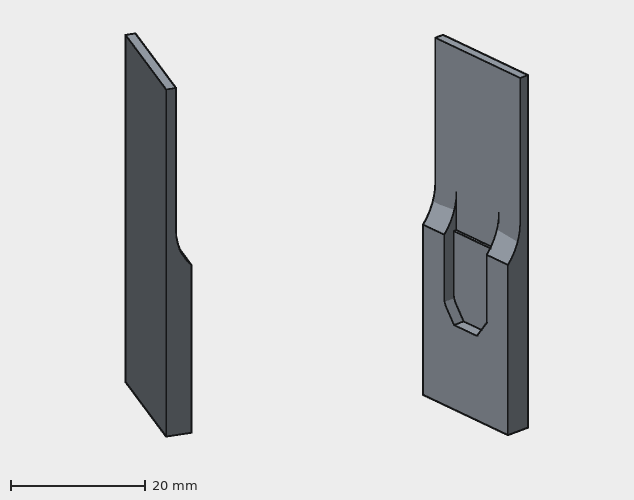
import cadquery as cq
import math

width = 19.0
height = 58.0
thickness = 4.0
blade_thickness = 1.55
sweep_top = 34.2
sweep_radius = 9.1

recess_width = 9.5
recess_depth = 1.9
recess_bottom = 13.9
recess_flat_width = 5.1
corner_angle = 53.0
right_round_radius = 2.3

sweep_centre_y = blade_thickness + sweep_radius
sweep_end_angle = math.acos((sweep_centre_y - thickness) / sweep_radius)
sweep_bottom = sweep_top - sweep_radius * math.sin(sweep_end_angle)


def make_plate():
    """Side profile in Y and Z, extruded across the width."""
    half_angle = sweep_end_angle / 2
    sweep_middle = (
        sweep_centre_y - sweep_radius * math.cos(half_angle),
        sweep_top - sweep_radius * math.sin(half_angle),
    )
    return (
        cq.Workplane("YZ")
        .lineTo(thickness, 0)
        .lineTo(thickness, sweep_bottom)
        .threePointArc(sweep_middle, (blade_thickness, sweep_top))
        .lineTo(blade_thickness, height)
        .lineTo(0, height)
        .close()
        .extrude(width / 2, both=True)
    )


def make_recess():
    """Blind recess: sloped left corner, sloped and rounded right corner."""
    half_width = recess_width / 2
    half_flat = recess_flat_width / 2
    slope = math.radians(corner_angle)
    left_rise = (half_width - half_flat) * math.tan(slope)

    round_start_x = half_width - right_round_radius * (1 - math.sin(slope))
    round_start_z = recess_bottom + (round_start_x - half_flat) * math.tan(slope)
    round_centre_x = half_width - right_round_radius
    round_end_z = round_start_z + right_round_radius * math.cos(slope)
    middle_angle = (math.pi / 2 - slope) / 2
    round_middle = (
        round_centre_x + right_round_radius * math.cos(middle_angle),
        round_end_z - right_round_radius * math.sin(middle_angle),
    )
    return (
        cq.Workplane("XZ", origin=(0, thickness, 0))
        .moveTo(-half_width, sweep_top)
        .lineTo(-half_width, recess_bottom + left_rise)
        .lineTo(-half_flat, recess_bottom)
        .lineTo(half_flat, recess_bottom)
        .lineTo(round_start_x, round_start_z)
        .threePointArc(round_middle, (half_width, round_end_z))
        .lineTo(half_width, sweep_top)
        .close()
        .extrude(recess_depth)
    )


def make_ledge_cut():
    """Squares off the sweep above the recess, leaving a flat ledge next to the blade."""
    return cq.Workplane("XY").box(
        recess_width,
        thickness - blade_thickness,
        sweep_top - sweep_bottom,
        centered=(True, False, False),
    ).translate((0, blade_thickness, sweep_bottom))


result = make_plate().cut(make_recess()).cut(make_ledge_cut())